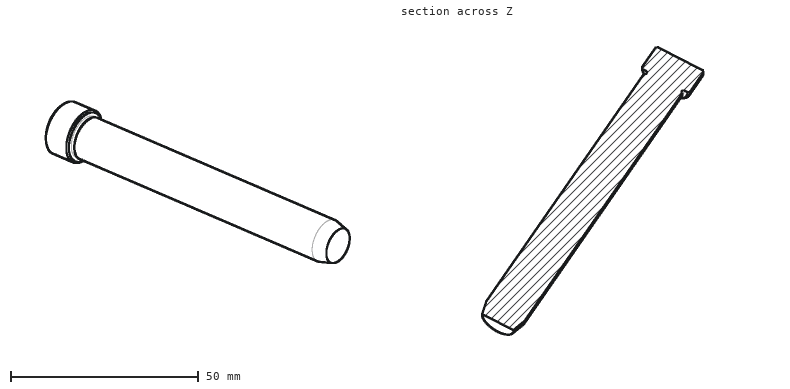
import cadquery as cq
import math

total_length = 95.0

head_diameter = 15.0
head_length = 8.0
head_chamfer = 0.5

shank_diameter = 12.0
tip_length = 4.0
tip_angle = 15.0

relief_radius = 0.5

full_turn = 360.0
head_radius = head_diameter / 2
shank_radius = shank_diameter / 2
tip_radius = shank_radius - tip_length * math.tan(math.radians(tip_angle))


def revolve_about_x(profile):
    """Spin a closed XZ profile a full turn around the X axis."""
    return profile.close().revolve(full_turn, (0, 0, 0), (1, 0, 0))


def make_head():
    """Cylindrical head with both rims chamfered."""
    head = cq.Workplane("YZ").circle(head_radius).extrude(head_length)
    return head.edges().chamfer(head_chamfer)


def make_shank():
    """Plain shank that tapers to the flat end of the tip."""
    profile = (
        cq.Workplane("XZ")
        .moveTo(head_length, 0)
        .lineTo(head_length, shank_radius)
        .lineTo(total_length - tip_length, shank_radius)
        .lineTo(total_length, tip_radius)
        .lineTo(total_length, 0)
    )
    return revolve_about_x(profile)


def make_relief():
    """Ring cutter with a round section centred on the shank surface, touching the head."""
    profile = (
        cq.Workplane("XZ")
        .moveTo(head_length, shank_radius)
        .threePointArc(
            (head_length + relief_radius, shank_radius - relief_radius),
            (head_length + 2 * relief_radius, shank_radius),
        )
    )
    return revolve_about_x(profile)


result = make_head().union(make_shank()).cut(make_relief())